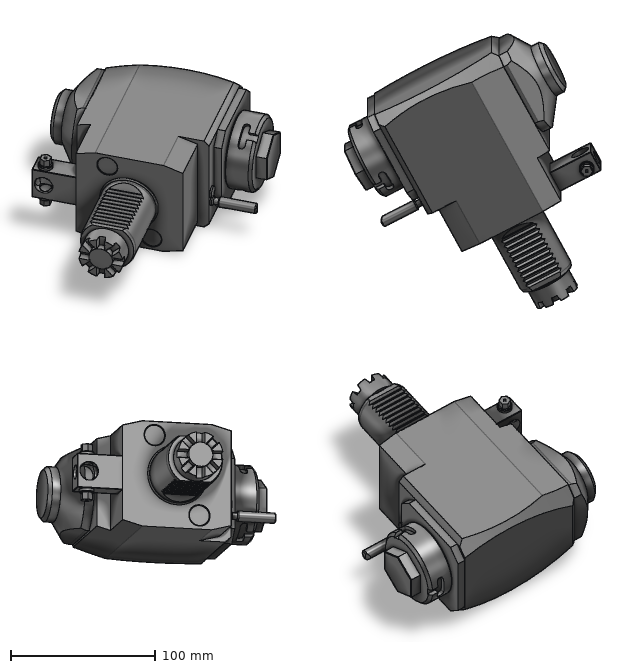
import cadquery as cq
import math

CUT_MARGIN = 1.0


BODY_TOP = 37.5
BODY_LEFT = -48.6
BODY_RIGHT = 47.2
BODY_BACK = 114.0
STEP_Y = 35.0
FOOT_HALF = 38.9
TAPER_START = 24.8
TAPER_SLOPE = math.tan(math.radians(15))
RIGHT_CHAMFER = 3.7
BACK_CORNER = 4.0
CROWN_X = 9.2
CROWN_RADIUS = 125.0
CROWN_DROP = 4.1
RECESS_X = 16.0
RECESS_Z = 27.7
RECESS_RADIUS = 7.6
RECESS_DEPTH = 0.5
RECESS_TAPER = 45

SPINDLE_Y = 80.0

COVER_BASE_RADIUS = 37.5
COVER_BASE_X = -55.0
COVER_NECK_X = -68.0
CAP_RADIUS = 19.3
CAP_X = -76.6
CAP_CHAMFER = 2.6
COVER_BACK = 110.0
COVER_TOP = 29.5
COVER_CORNER = 7.0
COVER_FLAT_X = -51.2

PLATE_HALF = 33.8
PLATE_CORNER = 9.0
PLATE_X = 52.9
NUT_GAP = 0.5
NUT_GAP_RADIUS = 26.5
NUT_RADIUS = 27.7
NUT_END_X = 72.4
NUT_CHAMFER = 2.2
NUT_BACK_CHAMFER = 0.5
NUT_SLOT_X = 63.0
NUT_SLOT_WIDTH = 5.2
NUT_SLOT_LENGTH = 19.0
NUT_SLOT_DEPTH = 3.0
NUT_NOTCH_WIDTH = 5.4
NUT_SLOT_COUNT = 3
NUT_SLOT_ANGLE = 30
HEX_FLATS = 32.0
HEX_END_X = 80.4
HEX_CHAMFER = 0.5

PIN_Y = 40.6
PIN_Z = -17.3
PIN_BASE_RADIUS = 3.6
PIN_BASE_X = 49.3
PIN_NECK_RADIUS = 2.4
PIN_NECK_X = 52.8
PIN_RADIUS = 3.65
PIN_END_X = 80.4
PIN_CHAMFER = 0.8
PIN_BASE_CHAMFER = 1.0
PIN_BEVEL = 2.5

BUTTON_Z = -9.8
BUTTON_RADIUS = 4.2
BUTTON_HEIGHT = 1.2

SHANK_RADIUS = 20.0
SHANK_END_Y = -52.5
SHANK_CHAMFER = 2.5
SHANK_CHAMFER_RADIAL = 0.7
COLLAR_RADIUS = 21.3
COLLAR_LENGTH = 2.2
COLLAR_END_Y = -3.6
FLAT_Z = 15.9
RAMP_Y = -5.0
TOOTH_PITCH = 4.0
TOOTH_COUNT = 10
TOOTH_DEPTH = 1.5
TOOTH_WIDTH = 3.2
FIRST_TOOTH_Y = -11.5

END_NECK_RADIUS = 13.4
END_NUT_Y = -54.0
END_NUT_RADIUS = 16.0
END_Y = -68.0
END_SLOT_COUNT = 8
END_SLOT_WIDTH = 5.9
END_SLOT_FLOOR_WIDTH = 4.4
END_SLOT_DEPTH = 4.7
END_CORE_RADIUS = 8.6

ARM_LEFT = -71.0
ARM_FRONT = 1.0
ARM_BACK = 16.3
ARM_HALF = 12.1
ARM_CHAMFER = 0.4
ARM_HOLE_X = -62.6
ARM_HOLE_RADIUS = 6.6
ARM_SIDE_HOLE_RADIUS = 4.8
ARM_SIDE_HOLE_Y = 7.5
ARM_SIDE_HOLE_END_X = -50.0
ARM_DRILL_RADIUS = 1.4
ARM_DRILL_END_X = -48.0
ARM_BORE_RADIUS = 4.2
ARM_BORE_HALF = 6.8
SCREW_X = -62.9
SCREW_Y = 7.0
SCREW_FLANGE_RADIUS = 5.2
SCREW_FLANGE_TOP = 14.5
SCREW_FLANGE_CHAMFER = 0.6
SCREW_HEX_FLATS = 7.0
SCREW_TOP = 19.7
SCREW_HOLE_RADIUS = 1.0
SCREW_HOLE_DEPTH = 2.0


def prism_along_y(points, y_start, y_end):
    """Extrude an outline given as (x, z) points between two Y positions."""
    sketch = cq.Workplane("XZ", origin=(0, y_start, 0)).polyline(points).close()
    return sketch.extrude(y_start - y_end)


def prism_along_x(points, x_start, x_end):
    """Extrude an outline given as (y, z) points between two X positions."""
    sketch = cq.Workplane("YZ", origin=(x_start, 0, 0)).polyline(points).close()
    return sketch.extrude(x_end - x_start)


def cylinder_along_x(radius, x_start, x_end, y, z=0.0):
    return cq.Workplane("YZ", origin=(x_start, y, z)).circle(radius).extrude(x_end - x_start)


def hexagon_diameter(flats):
    """Corner-to-corner size of a hexagon from its width across flats."""
    return flats / math.cos(math.radians(30))


def mirrored_z(points):
    """Close an upper outline with its mirror image below Z = 0."""
    return points + [(across, -z) for across, z in reversed(points)]


def flank_z(x):
    """Height of the sloping flank at distance |x| from the shank axis."""
    return BODY_TOP - (abs(x) - TAPER_START) * TAPER_SLOPE


def crown_cone(side):
    """Large 45 degree cone along Y whose surface forms one rear bevel."""
    center_z = side * (BODY_TOP - CROWN_DROP - CROWN_RADIUS)
    cone = cq.Solid.makeCone(
        CROWN_RADIUS + BODY_BACK,
        CROWN_RADIUS,
        BODY_BACK,
        pnt=cq.Vector(CROWN_X, 0, center_z),
        dir=cq.Vector(0, 1, 0),
    )
    return cq.Workplane("XY").add(cone)


def make_housing():
    head_outline = mirrored_z([
        (BODY_LEFT, flank_z(BODY_LEFT)),
        (-TAPER_START, BODY_TOP),
        (BODY_RIGHT - RIGHT_CHAMFER, BODY_TOP),
        (BODY_RIGHT, BODY_TOP - RIGHT_CHAMFER),
    ])
    head = prism_along_y(head_outline, STEP_Y, BODY_BACK)
    head = head.edges(cq.selectors.NearestToPointSelector((BODY_LEFT, BODY_BACK, 0))).chamfer(BACK_CORNER)
    for side in (1, -1):
        head = head.intersect(crown_cone(side))

    foot_outline = mirrored_z([
        (-FOOT_HALF, flank_z(FOOT_HALF)),
        (-TAPER_START, BODY_TOP),
        (TAPER_START, BODY_TOP),
        (FOOT_HALF, flank_z(FOOT_HALF)),
    ])
    housing = head.union(prism_along_y(foot_outline, 0, STEP_Y))
    recesses = (
        cq.Workplane("XZ")
        .pushPoints([(-RECESS_X, RECESS_Z), (RECESS_X, -RECESS_Z)])
        .circle(RECESS_RADIUS)
        .extrude(-RECESS_DEPTH, taper=RECESS_TAPER)
    )
    return housing.cut(recesses)


def make_cover():
    profile = [
        (BODY_LEFT, 0),
        (BODY_LEFT, COVER_BASE_RADIUS),
        (COVER_BASE_X, COVER_BASE_RADIUS),
        (COVER_NECK_X, CAP_RADIUS),
        (CAP_X + CAP_CHAMFER, CAP_RADIUS),
        (CAP_X, CAP_RADIUS - CAP_CHAMFER),
        (CAP_X, 0),
    ]
    points = [(x, SPINDLE_Y - radius) for x, radius in profile]
    cover = (
        cq.Workplane("XY")
        .polyline(points)
        .close()
        .revolve(360, (0, SPINDLE_Y, 0), (1, SPINDLE_Y, 0))
    )
    front_y = SPINDLE_Y - COVER_BASE_RADIUS
    rear_limit = prism_along_x(
        mirrored_z([
            (front_y, COVER_TOP),
            (COVER_BACK - COVER_CORNER, COVER_TOP),
            (COVER_BACK, COVER_TOP - COVER_CORNER),
        ]),
        CAP_X,
        BODY_LEFT,
    )
    flank_limit = prism_along_y(
        mirrored_z([
            (CAP_X, COVER_TOP - (COVER_FLAT_X - CAP_X) * TAPER_SLOPE),
            (COVER_FLAT_X, COVER_TOP),
            (BODY_LEFT, COVER_TOP),
        ]),
        front_y,
        COVER_BACK,
    )
    return cover.intersect(rear_limit).intersect(flank_limit)


def make_front_plate():
    return (
        cq.Workplane("YZ", origin=(BODY_RIGHT, SPINDLE_Y, 0))
        .rect(2 * PLATE_HALF, 2 * PLATE_HALF)
        .extrude(PLATE_X - BODY_RIGHT)
        .edges("|X")
        .chamfer(PLATE_CORNER)
    )


def ring_along_x(depth, x_start, x_end):
    """Shell of the spindle nut, from its surface down to the given depth."""
    outer = cylinder_along_x(NUT_RADIUS + CUT_MARGIN, x_start, x_end, SPINDLE_Y)
    return outer.cut(cylinder_along_x(NUT_RADIUS - depth, x_start, x_end, SPINDLE_Y))


def make_spindle_nut():
    nut_start = PLATE_X + NUT_GAP
    nut = cylinder_along_x(NUT_RADIUS, nut_start, NUT_END_X, SPINDLE_Y)
    nut = nut.faces(">X").chamfer(NUT_CHAMFER).faces("<X").chamfer(NUT_BACK_CHAMFER)

    plan = cq.Workplane("XY", origin=(0, SPINDLE_Y, 0))
    slot = plan.center(NUT_SLOT_X, 0).slot2D(NUT_SLOT_LENGTH, NUT_SLOT_WIDTH, 90).extrude(NUT_RADIUS)
    notch_length = NUT_END_X - NUT_SLOT_X
    notch = (
        plan.center(NUT_SLOT_X + notch_length / 2, 0)
        .rect(notch_length, NUT_NOTCH_WIDTH)
        .extrude(NUT_RADIUS)
    )
    slot = slot.union(notch).intersect(ring_along_x(NUT_SLOT_DEPTH, nut_start, NUT_END_X))
    spindle_axis = ((0, SPINDLE_Y, 0), (1, SPINDLE_Y, 0))
    for index in range(NUT_SLOT_COUNT):
        angle = NUT_SLOT_ANGLE + index * 360 / NUT_SLOT_COUNT
        nut = nut.cut(slot.rotate(*spindle_axis, angle))

    hexagon = (
        cq.Workplane("YZ", origin=(NUT_END_X, SPINDLE_Y, 0))
        .transformed(rotate=(0, 0, 90))
        .polygon(6, hexagon_diameter(HEX_FLATS))
        .extrude(HEX_END_X - NUT_END_X)
        .faces(">X")
        .chamfer(HEX_CHAMFER)
    )
    gap_ring = cylinder_along_x(NUT_GAP_RADIUS, PLATE_X, nut_start, SPINDLE_Y)
    return nut.union(gap_ring).union(hexagon)


def make_pin():
    base = cylinder_along_x(PIN_BASE_RADIUS, BODY_RIGHT, PIN_BASE_X, PIN_Y, PIN_Z)
    neck = cylinder_along_x(PIN_NECK_RADIUS, PIN_BASE_X, PIN_NECK_X, PIN_Y, PIN_Z)
    rod = cylinder_along_x(PIN_RADIUS, PIN_NECK_X, PIN_END_X, PIN_Y, PIN_Z)
    base = base.faces(">X").chamfer(PIN_BASE_CHAMFER)
    rod = rod.faces("<X or >X").chamfer(PIN_CHAMFER)
    side_y = PIN_Y + PIN_RADIUS
    bevel = (
        cq.Workplane("XY", origin=(0, 0, PIN_Z))
        .polyline([
            (PIN_END_X - PIN_BEVEL, side_y),
            (PIN_END_X, side_y),
            (PIN_END_X, side_y - PIN_BEVEL),
        ])
        .close()
        .extrude(PIN_RADIUS, both=True)
    )
    return base.union(neck).union(rod.cut(bevel))


def make_button():
    return cylinder_along_x(BUTTON_RADIUS, BODY_RIGHT, BODY_RIGHT + BUTTON_HEIGHT, PIN_Y, BUTTON_Z)


def make_shank():
    collar_bulge = COLLAR_LENGTH / 2
    shank = (
        cq.Workplane("XY")
        .moveTo(0, 0)
        .lineTo(-(COLLAR_RADIUS - collar_bulge), 0)
        .threePointArc(
            (-COLLAR_RADIUS, -collar_bulge),
            (-(COLLAR_RADIUS - collar_bulge), -COLLAR_LENGTH),
        )
        .lineTo(-SHANK_RADIUS, COLLAR_END_Y)
        .lineTo(-SHANK_RADIUS, SHANK_END_Y + SHANK_CHAMFER)
        .lineTo(-(SHANK_RADIUS - SHANK_CHAMFER_RADIAL), SHANK_END_Y)
        .lineTo(-END_NECK_RADIUS, SHANK_END_Y)
        .lineTo(-END_NECK_RADIUS, END_NUT_Y)
        .lineTo(0, END_NUT_Y)
        .close()
        .revolve(360, (0, 0, 0), (0, 1, 0))
    )
    cutter_top = COLLAR_RADIUS
    flat_outline = [
        (RAMP_Y + cutter_top - SHANK_RADIUS, cutter_top),
        (RAMP_Y - (SHANK_RADIUS - FLAT_Z), FLAT_Z),
        (SHANK_END_Y, FLAT_Z),
        (SHANK_END_Y, cutter_top),
    ]
    cutter = prism_along_x(flat_outline, -SHANK_RADIUS, SHANK_RADIUS)
    for index in range(TOOTH_COUNT):
        valley_y = FIRST_TOOTH_Y - index * TOOTH_PITCH
        valley = [
            (valley_y - TOOTH_WIDTH / 2, FLAT_Z),
            (valley_y, FLAT_Z - TOOTH_DEPTH),
            (valley_y + TOOTH_WIDTH / 2, FLAT_Z),
        ]
        cutter = cutter.union(prism_along_x(valley, -SHANK_RADIUS, SHANK_RADIUS))
    return shank.cut(cutter).cut(cutter.mirror("XY"))


def make_end_nut():
    nut = cq.Workplane("XZ", origin=(0, END_NUT_Y, 0)).circle(END_NUT_RADIUS).extrude(END_NUT_Y - END_Y)
    slot_outline = [
        (-END_SLOT_WIDTH / 2, END_Y),
        (END_SLOT_WIDTH / 2, END_Y),
        (END_SLOT_FLOOR_WIDTH / 2, END_Y + END_SLOT_DEPTH),
        (-END_SLOT_FLOOR_WIDTH / 2, END_Y + END_SLOT_DEPTH),
    ]
    slot = cq.Workplane("XY").polyline(slot_outline).close().extrude(END_NUT_RADIUS + CUT_MARGIN)
    core = cq.Workplane("XZ", origin=(0, END_NUT_Y, 0)).circle(END_CORE_RADIUS).extrude(END_NUT_Y - END_Y)
    slot = slot.cut(core)
    for index in range(END_SLOT_COUNT):
        nut = nut.cut(slot.rotate((0, 0, 0), (0, 1, 0), index * 360 / END_SLOT_COUNT))
    return nut


def make_screw():
    """Hexagon screw with a flange, standing on the top of the coolant block."""
    seat = cq.Workplane("XY", origin=(SCREW_X, SCREW_Y, ARM_HALF))
    flange = seat.circle(SCREW_FLANGE_RADIUS).extrude(SCREW_FLANGE_TOP - ARM_HALF)
    flange = flange.faces(">Z").chamfer(SCREW_FLANGE_CHAMFER)
    head = (
        seat.transformed(rotate=(0, 0, 90))
        .polygon(6, hexagon_diameter(SCREW_HEX_FLATS))
        .extrude(SCREW_TOP - ARM_HALF)
    )
    socket = (
        cq.Workplane("XY", origin=(SCREW_X, SCREW_Y, SCREW_TOP - SCREW_HOLE_DEPTH))
        .circle(SCREW_HOLE_RADIUS)
        .extrude(SCREW_HOLE_DEPTH)
    )
    return flange.union(head).cut(socket)


def make_coolant_block():
    arm_outline = mirrored_z([(ARM_LEFT, ARM_HALF), (-FOOT_HALF, ARM_HALF)])
    arm = prism_along_y(arm_outline, ARM_FRONT, ARM_BACK)
    arm = arm.edges("|X or <X").chamfer(ARM_CHAMFER)
    cross_hole = (
        cq.Workplane("XZ", origin=(ARM_HOLE_X, ARM_FRONT, 0))
        .circle(ARM_HOLE_RADIUS)
        .extrude(ARM_FRONT - ARM_BACK)
    )
    side_hole = cylinder_along_x(ARM_SIDE_HOLE_RADIUS, ARM_LEFT, ARM_SIDE_HOLE_END_X, ARM_SIDE_HOLE_Y)
    drill = cylinder_along_x(ARM_DRILL_RADIUS, ARM_SIDE_HOLE_END_X, ARM_DRILL_END_X, ARM_SIDE_HOLE_Y)
    bore = (
        cq.Workplane("XY", origin=(SCREW_X, SCREW_Y, 0))
        .circle(ARM_BORE_RADIUS)
        .extrude(ARM_BORE_HALF, both=True)
    )
    arm = arm.cut(cross_hole).cut(side_hole).cut(drill).cut(bore)
    screw = make_screw()
    return arm.union(screw).union(screw.mirror("XY"))


result = (
    make_housing()
    .union(make_cover())
    .union(make_front_plate())
    .union(make_spindle_nut())
    .union(make_pin())
    .union(make_button())
    .union(make_shank())
    .union(make_end_nut())
    .union(make_coolant_block())
)